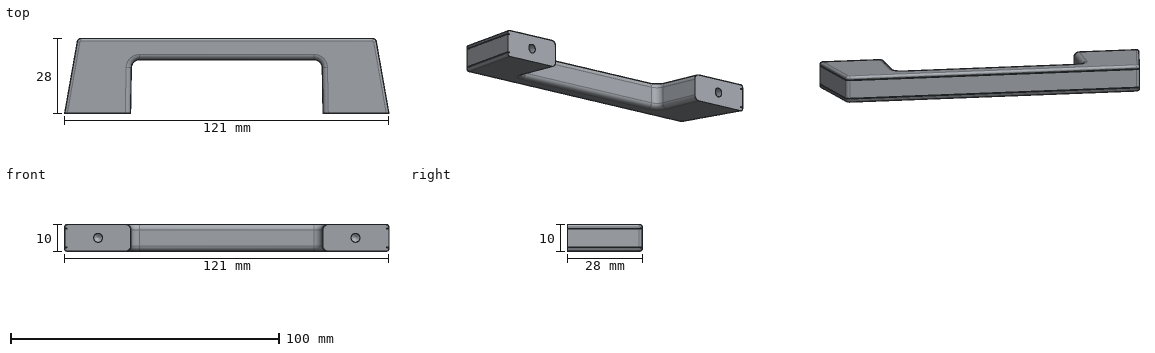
import cadquery as cq
import math

length = 121.0
depth = 28.0
height = 10.0

flank_angle = 10.0
inner_draft = 1.0
grip_thickness = 8.0
opening_width = 71.0
outer_corner_radius = 1.5
inner_corner_radius = 3.0

outer_edge_radius = 1.0
inner_edge_radius = 2.0

groove_inset = 1.5
groove_width = 0.2
groove_depth = 0.8

hole_spacing = 96.0
hole_diameter = 3.3
hole_depth = 12.0
drill_tip_angle = 118.0

half_length = length / 2
flank_slope = math.tan(math.radians(flank_angle))
half_back = half_length - depth * flank_slope
opening_depth = depth - grip_thickness
half_opening = opening_width / 2
half_mouth = half_opening + opening_depth * math.tan(math.radians(inner_draft))


def make_prism(points):
    """Extrude a plan outline over the full height, centred on Z = 0."""
    return cq.Workplane("XY").workplane(offset=-height / 2).polyline(points).close().extrude(height)


def make_outer_prism(front=0.0):
    """Trapezoidal prism with rounded back corners, its flanks starting at Y = front."""
    half_front = half_length - front * flank_slope
    prism = make_prism([
        (-half_front, front),
        (half_front, front),
        (half_back, depth),
        (-half_back, depth),
    ])
    return prism.edges("|Z and >Y").fillet(outer_corner_radius)


def make_outer_block():
    """Outer prism with its outline edges rounded, except along the feet."""
    outline = make_outer_prism().faces("<Z or >Z").edges("not <Y")
    return outline.fillet(outer_edge_radius)


def make_groove(z):
    """Thin band inside the ends and back, centred at height z and open at the feet."""
    core_outline = make_outer_prism(-2 * groove_depth).faces(">Z").wires().val()
    core_wire = core_outline.offset2D(-groove_depth)[0]
    core = cq.Workplane("XY").add(core_wire).toPending().extrude(-height)
    layer = cq.Workplane("XY").box(2 * length, 4 * depth, groove_width).translate((0, 0, z))
    return make_outer_prism().cut(core).intersect(layer)


def cut_opening(body):
    """Cut the finger opening, then round its corners and its long edges."""
    opening = make_prism([
        (-half_mouth, 0),
        (half_mouth, 0),
        (half_opening, opening_depth),
        (-half_opening, opening_depth),
    ])
    opening = opening.edges("|Z and >Y").fillet(inner_corner_radius)
    body = body.cut(opening)
    margin = 0.1
    around_opening = cq.selectors.BoxSelector(
        (-half_mouth - margin, margin, -height),
        (half_mouth + margin, opening_depth + margin, height),
    )
    rims = body.faces("<Z or >Z").edges("not <Y").edges(around_opening)
    return rims.fillet(inner_edge_radius)


def make_screw_hole(x):
    """Drilled hole with a conical bottom, entering the foot along +Y."""
    radius = hole_diameter / 2
    tip_length = radius / math.tan(math.radians(drill_tip_angle / 2))
    half_section = [
        (x, 0),
        (x + radius, 0),
        (x + radius, hole_depth),
        (x, hole_depth + tip_length),
    ]
    profile = cq.Workplane("XY").polyline(half_section).close()
    return profile.revolve(360, (x, 0), (x, 1))


result = cut_opening(make_outer_block())
for side in (-1, 1):
    result = result.cut(make_groove(side * (height / 2 - groove_inset)))
    result = result.cut(make_screw_hole(side * hole_spacing / 2))